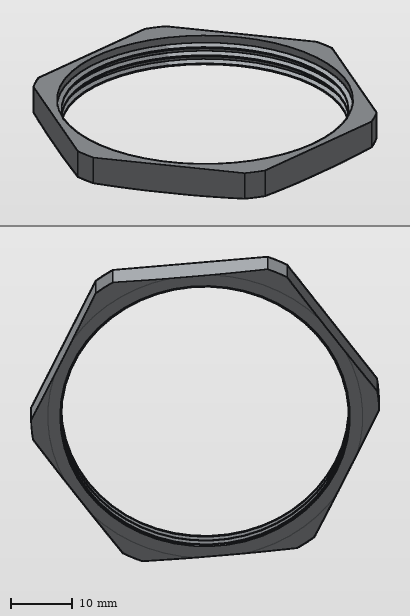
import cadquery as cq
import math

across_flats = 51.0
corner_radius = 28.5
thickness = 5.0
bevel_inner_radius = 25.75
bevel_height = 0.35

root_radius = 24.2
crest_radius = 23.5
pitch = 1.5
ridge_count = 3
first_ridge_depth = 1.8
crest_width = pitch / 8
flank_angle = 30.0
flank_height = (root_radius - crest_radius) * math.tan(math.radians(flank_angle))
ridge_overlap = 0.3


def revolve_profile(points):
    """Revolve a closed (radius, height) outline about Z."""
    return cq.Workplane("XZ").polyline(points).close().revolve(360, (0, 0), (0, 1))


def make_hexagon():
    """Hexagonal plate with two corners on the Y axis."""
    across_corners = across_flats / math.cos(math.pi / 6)
    return (
        cq.Workplane("XY")
        .polygon(6, across_corners)
        .extrude(thickness)
        .rotate((0, 0, 0), (0, 0, 1), 30)
    )


def make_corner_envelope():
    """Solid of revolution that rounds the corners and bevels their undersides."""
    return revolve_profile([
        (0, 0),
        (bevel_inner_radius, 0),
        (corner_radius, bevel_height),
        (corner_radius, thickness),
        (0, thickness),
    ])


def make_ridge(crest_height):
    """One thread ridge, with its crest centred at the given height."""
    half_crest = crest_width / 2
    half_base = half_crest + flank_height
    outer_radius = root_radius + ridge_overlap
    return revolve_profile([
        (outer_radius, crest_height - half_base),
        (root_radius, crest_height - half_base),
        (crest_radius, crest_height - half_crest),
        (crest_radius, crest_height + half_crest),
        (root_radius, crest_height + half_base),
        (outer_radius, crest_height + half_base),
    ])


bore = cq.Workplane("XY").circle(root_radius).extrude(thickness)
body = make_hexagon().intersect(make_corner_envelope()).cut(bore)

for index in range(ridge_count):
    body = body.union(make_ridge(thickness - first_ridge_depth - index * pitch))

result = body.intersect(make_corner_envelope())